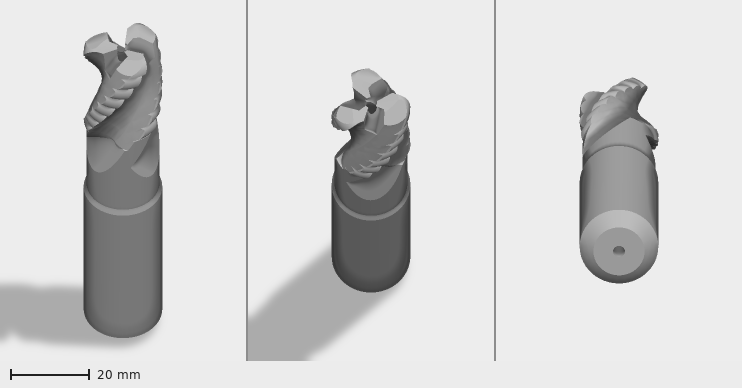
import cadquery as cq
import math


length = 104.0
shank_radius = 10.0
shank_top = 50.0
shank_chamfer = 3.5
neck_radius = 9.3
neck_start = 51.5
head_radius = 10.0
corner_radius = 3.0
coolant_hole_diameter = 3.0
reach = 14.0
far_reach = 2 * reach
space_size = 10 * reach
clearance = 1.0

helix_lead = 93.0
twist_rate = 360 / helix_lead
land_angle = 26.5
tip_edge_angle = -17.5

ridge_radius = 6.9
ridge_share = 0.52
flute_sagitta = 1.7
relief_mid_radius = 8.4
relief_end_radius = 9.6

runout_low = 58.0
helix_low = 61.0
runout_kink = 73.8
runout_level = 70.0
runout_lean = 20.9
runout_facing = 99.8

wave_pitch = 3.77
wave_depth = 1.0
wave_bottom = 74.26
wave_limit = 101.0
sector_ahead = 15.0
sector_behind = 42.0

gash_radius = 1.5
gash_face_offset = -0.3
gash_start = 102.2
gash_slope = 43.0
gash_length = 7.5
gash_height = 8.0
gash_back_angle = 30.0
gash_lead = 17.5
end_relief_angle = 20.0
end_land = 2.5
dish_depth = 1.5

teeth = [
    {"angle": 0.0, "wave_shift": 0.0, "runout_radius": 6.4},
    {"angle": 110.0, "wave_shift": 2 * wave_pitch / 3, "runout_radius": 5.7},
    {"angle": 242.0, "wave_shift": wave_pitch / 3, "runout_radius": 6.05},
]


def polar(radius, degrees):
    angle = math.radians(degrees)
    return radius * math.cos(angle), radius * math.sin(angle)


def edge_angle(tooth, z):
    """Angle of a tooth's cutting edge at height z."""
    return tip_edge_angle + tooth["angle"] - twist_rate * (length - z)


def gap_to_next(index):
    following = teeth[(index + 1) % len(teeth)]["angle"]
    return (following - teeth[index]["angle"]) % 360


def twisted(sketch, low, high):
    height = high - low
    return sketch.twistExtrude(height, height * twist_rate)


def make_blank():
    """Turned body: chamfered shank, neck and round-cornered head."""
    return (
        cq.Workplane("XZ")
        .moveTo(0, 0)
        .lineTo(shank_radius - shank_chamfer, 0)
        .lineTo(shank_radius, shank_chamfer)
        .lineTo(shank_radius, shank_top)
        .lineTo(neck_radius, neck_start)
        .lineTo(neck_radius, wave_bottom)
        .lineTo(head_radius, wave_bottom)
        .lineTo(head_radius, length - corner_radius)
        .radiusArc((head_radius - corner_radius, length), -corner_radius)
        .lineTo(0, length - dish_depth)
        .close()
        .revolve(360, (0, 0, 0), (0, 1, 0))
    )


def flute_profile(index, z):
    """Hollow rake and floor, then the convex back of the next tooth, closed outside the tool."""
    gap = gap_to_next(index)
    start = edge_angle(teeth[index], z)
    edge = polar(head_radius, start)
    ridge = polar(ridge_radius, start + ridge_share * gap)
    chord_x = ridge[0] - edge[0]
    chord_y = ridge[1] - edge[1]
    chord = math.hypot(chord_x, chord_y)
    floor = (
        (edge[0] + ridge[0]) / 2 - flute_sagitta * chord_y / chord,
        (edge[1] + ridge[1]) / 2 + flute_sagitta * chord_x / chord,
    )
    relief_end = gap - land_angle
    relief_mid = (ridge_share * gap + relief_end) / 2
    return (
        cq.Workplane("XY", origin=(0, 0, z))
        .moveTo(*edge)
        .threePointArc(floor, ridge)
        .threePointArc(
            polar(relief_mid_radius, start + relief_mid),
            polar(relief_end_radius, start + relief_end),
        )
        .lineTo(*polar(reach, start + relief_end + land_angle / 2))
        .lineTo(*polar(far_reach, start + gap / 2))
        .lineTo(*polar(reach, start))
        .close()
    )


def runout_space(tooth):
    """Half-space outside the leaning flat that ends a flute."""
    facing = tip_edge_angle + tooth["angle"] - runout_facing
    return (
        cq.Workplane("XY")
        .box(space_size, space_size, 2 * space_size, centered=(False, True, True))
        .rotate((0, 0, 0), (0, 1, 0), -runout_lean)
        .translate((tooth["runout_radius"], 0, runout_level))
        .rotate((0, 0, 0), (0, 0, 1), facing)
    )


def cut_flute(body, index):
    """Helical flute above the kink; below it, a blend of twisted and straight ends at the flat."""
    upper = twisted(flute_profile(index, runout_kink), runout_kink, length + clearance)
    lower = twisted(flute_profile(index, helix_low), helix_low, runout_kink)
    straight = flute_profile(index, runout_kink).extrude(runout_low - runout_kink)
    end = lower.union(straight, clean=False).intersect(runout_space(teeth[index]), clean=False)
    return body.cut(end, clean=False).cut(upper, clean=False)


def wave_cutter(tooth):
    """Ring outside a column of convex waves, with a plain neck below the lowest wave."""
    low = wave_bottom + tooth["wave_shift"]
    valley = head_radius - wave_depth
    wave_count = int((wave_limit - low) / wave_pitch)
    outline = (
        cq.Workplane("XZ")
        .moveTo(reach, wave_bottom - wave_pitch)
        .lineTo(neck_radius, wave_bottom - wave_pitch)
        .lineTo(neck_radius, low)
        .lineTo(valley, low)
    )
    for wave in range(wave_count):
        bottom = low + wave * wave_pitch
        crest = (head_radius, bottom + wave_pitch / 2)
        outline = outline.threePointArc(crest, (valley, bottom + wave_pitch))
    top = low + wave_count * wave_pitch
    outline = outline.lineTo(head_radius, top + wave_depth).lineTo(reach, top + wave_depth)
    return outline.close().revolve(360, (0, 0, 0), (0, 1, 0))


def cut_waves(body, tooth):
    """Apply the waves only to the helical sector that holds this tooth."""
    low = wave_bottom - wave_pitch
    start = edge_angle(tooth, low)
    ahead = start + sector_ahead
    behind = start - sector_behind
    middle = (ahead + behind) / 2
    sector = (
        cq.Workplane("XY", origin=(0, 0, low))
        .moveTo(*polar(ridge_radius, behind))
        .lineTo(*polar(far_reach, behind))
        .lineTo(*polar(far_reach + reach / 2, middle))
        .lineTo(*polar(far_reach, ahead))
        .lineTo(*polar(ridge_radius, ahead))
        .close()
    )
    return body.cut(wave_cutter(tooth).intersect(twisted(sector, low, length), clean=False), clean=False)


def cut_end(body, tooth):
    """Round-bottomed gash in front of the end cutting edge and a sloped relief behind it."""
    direction = tip_edge_angle + tooth["angle"] + gash_lead
    wall = gash_face_offset
    centre_y = wall + gash_radius
    back = math.radians(gash_back_angle)
    tangent = (centre_y + gash_radius * math.cos(back), -gash_radius * math.sin(back))
    bottom = (centre_y + gash_radius * math.sin(back / 2), -gash_radius * math.cos(back / 2))
    gash = (
        cq.Workplane("YZ")
        .moveTo(wall, gash_height)
        .lineTo(wall, 0)
        .threePointArc(bottom, tangent)
        .lineTo(tangent[0] + gash_height * math.tan(back), gash_height)
        .close()
        .extrude(gash_length)
        .rotate((0, 0, 0), (0, 1, 0), gash_slope)
        .translate((0, 0, gash_start))
    )
    drop = reach * math.tan(math.radians(end_relief_angle))
    relief = (
        cq.Workplane("YZ", origin=(0, 0, length))
        .moveTo(wall - end_land, 0)
        .lineTo(wall - end_land - reach, -drop)
        .lineTo(wall - end_land - reach, clearance)
        .lineTo(wall - end_land, clearance)
        .close()
        .extrude(reach)
    )
    for cutter in (gash, relief):
        body = body.cut(cutter.rotate((0, 0, 0), (0, 0, 1), direction))
    return body


def make_tool():
    body = make_blank()
    for index in range(len(teeth)):
        body = cut_flute(body, index)
    for tooth in teeth:
        body = cut_waves(body, tooth)
    for tooth in teeth:
        body = cut_end(body, tooth)
    hole = cq.Workplane("XY").circle(coolant_hole_diameter / 2).extrude(length)
    return body.cut(hole)


result = make_tool()